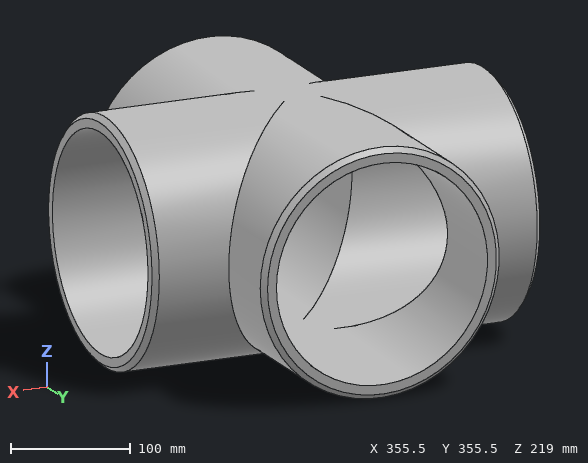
import cadquery as cq

overall_length = 355.5
outer_diameter = 219.0
bore_diameter = 193.5
end_chamfer = 4.5


def run_cylinder(plane, diameter):
    """Cylinder of the full run length, centred along the plane's normal."""
    start = cq.Workplane(plane).workplane(offset=-overall_length / 2)
    return start.circle(diameter / 2).extrude(overall_length)


def outer_run(plane):
    """Solid run with its outer rim bevelled at both ends."""
    return run_cylinder(plane, outer_diameter).faces("%PLANE").edges().chamfer(end_chamfer)


run_planes = ("YZ", "XZ")

outer_x_run, outer_y_run = [outer_run(plane) for plane in run_planes]
result = outer_x_run.union(outer_y_run)
for plane in run_planes:
    result = result.cut(run_cylinder(plane, bore_diameter))